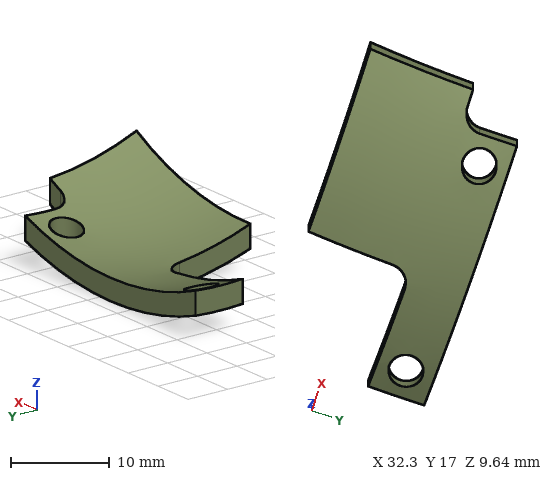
import cadquery as cq

inner_radius = 40.0
outer_radius = 42.5

total_length = 32.25
total_width = 17.0
strip_length = 28.5
strip_width = 6.0
plate_left_offset = 13.22
corner_radius = 2.0

hole_diameter = 3.5
hole_inset = 3.0

strip_left = -strip_length / 2
strip_right = strip_length / 2
strip_back = strip_width / 2
strip_front = -strip_width / 2
plate_left = strip_left + plate_left_offset
plate_right = strip_left + total_length
plate_front = strip_back - total_width
hole_x = strip_right - hole_inset
hole_y = strip_back - hole_inset
cut_depth = 1.1 * outer_radius


def make_plan_prism():
    """Outline extruded down from the sphere centre past the shell."""
    left_corner = (plate_left, strip_front)
    right_corner = (strip_right, strip_front)
    prism = (
        cq.Workplane("XY")
        .moveTo(strip_left, strip_back)
        .lineTo(strip_right, strip_back)
        .lineTo(*right_corner)
        .lineTo(plate_right, strip_front)
        .lineTo(plate_right, plate_front)
        .lineTo(plate_left, plate_front)
        .lineTo(*left_corner)
        .lineTo(strip_left, strip_front)
        .close()
        .extrude(-cut_depth)
    )
    for x, y in (left_corner, right_corner):
        corner_edge = cq.selectors.NearestToPointSelector((x, y, -cut_depth / 2))
        prism = prism.edges("|Z").edges(corner_edge).fillet(corner_radius)
    return prism


def make_holes():
    """One hole near each end of the strip."""
    return (
        cq.Workplane("XY")
        .pushPoints([(-hole_x, hole_y), (hole_x, hole_y)])
        .circle(hole_diameter / 2)
        .extrude(-cut_depth)
    )


outer_ball = cq.Workplane("XZ").sphere(outer_radius)
inner_ball = cq.Workplane("XZ").sphere(inner_radius)

result = make_plan_prism().cut(make_holes()).intersect(outer_ball).cut(inner_ball)